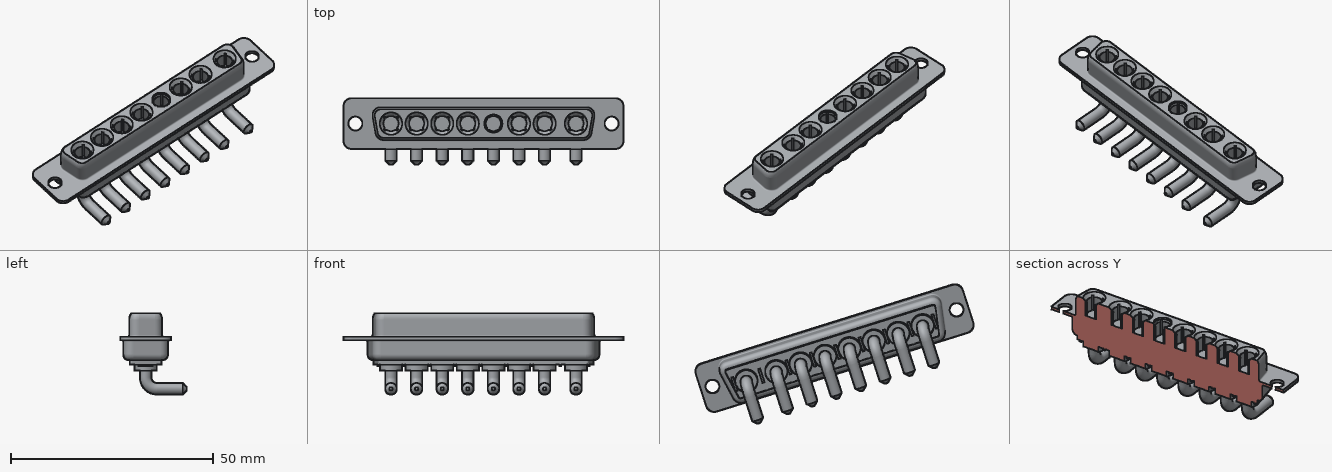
import cadquery as cq
import math

FLANGE_LENGTH = 69.3
FLANGE_WIDTH = 12.6
FLANGE_THICKNESS = 0.9
FLANGE_CORNER = 2.1
MOUNT_HOLE_DIAMETER = 3.4
MOUNT_HOLE_SPACING = 63.35

SIDE_ANGLE = 10.0

FACE_TOP = 5.8
CROWN_START = 4.3
FACE_HALF_LENGTH = 27.45
FACE_HALF_WIDTH = 4.1
FACE_CORNER = 2.1
CROWN_INSET = 0.55
FLANGE_BLEND = 0.35

SHELL_BOTTOM = -5.8
SHELL_HALF_LENGTH = 28.7
SHELL_HALF_WIDTH = 5.55
SHELL_CORNER = 2.15
SHELL_EDGE_ROUND = 1.4

BLOCK_BOTTOM = -6.9
BLOCK_HALF_LENGTH = 27.25
BLOCK_HALF_WIDTH = 3.95
BLOCK_CORNER = 0.55

END_CONTACT_X = 22.9
RUN_LENGTH = 38.0
RUN_COUNT = 7
SMALL_SOCKET_INDEX = 4
RUN_PITCH = RUN_LENGTH / (RUN_COUNT - 1)
CONTACT_X = [-END_CONTACT_X + i * RUN_PITCH for i in range(RUN_COUNT)] + [END_CONTACT_X]

RIB_END_X = 26.0
RIB_WIDTH = 0.55
RIB_LENGTH = 3.6
RIB_DEPTH = 0.35
RIB_X = [-RIB_END_X] + [(a + b) / 2 for a, b in zip(CONTACT_X, CONTACT_X[1:])] + [RIB_END_X]

SOCKET_DIAMETER = 3.75
SOCKET_MOUTH = 5.55
SOCKET_DEPTH = 4.85
SOCKET_CONE_DEPTH = 1.0
SMALL_OPENING = 4.5
SLIT_SPAN = 4.45
SLIT_WIDTH = 0.5
SLIT_ANGLES = (45, 135)

COLLAR_DIAMETER = 5.55
COLLAR_BOTTOM = -8.4
PIN_DIAMETER = 2.9
BEND_START = -10.05
BEND_RADIUS = 2.85
PIN_REACH = 10.2
TIP_CHAMFER = 1.05


def d_outline(half_length, half_width, corner, z):
    """Rounded D outline at height z, built by rounding off its corner centres."""
    center_y = half_width - corner
    wide_x = half_length - corner
    narrow_x = wide_x - 2 * center_y * math.tan(math.radians(SIDE_ANGLE))
    corners = [(-wide_x, center_y), (wide_x, center_y), (narrow_x, -center_y), (-narrow_x, -center_y)]
    return cq.Workplane("XY").workplane(offset=z).polyline(corners).close().offset2D(corner)


def cylinder_down(x, diameter, top, depth):
    return cq.Workplane("XY", origin=(x, 0, top)).circle(diameter / 2).extrude(-depth)


def make_flange():
    plate = cq.Workplane("XY").box(
        FLANGE_LENGTH, FLANGE_WIDTH, FLANGE_THICKNESS, centered=(True, True, False)
    )
    plate = plate.translate((0, 0, -FLANGE_THICKNESS)).edges("|Z").fillet(FLANGE_CORNER)
    holes = [(-MOUNT_HOLE_SPACING / 2, 0), (MOUNT_HOLE_SPACING / 2, 0)]
    return plate.faces(">Z").workplane().pushPoints(holes).hole(MOUNT_HOLE_DIAMETER)


def make_crown_cutter():
    """Ring that rounds the crown: an arc tangent to the wall, swept once around the D outline."""
    path = d_outline(FACE_HALF_LENGTH, FACE_HALF_WIDTH, FACE_CORNER, CROWN_START)
    start = path.val().startPoint()
    outward = path.val().tangentAt(0).cross(cq.Vector(0, 0, 1))
    if outward.dot(start) < 0:
        outward = -outward
    plane = cq.Plane(origin=start, xDir=outward, normal=outward.cross(cq.Vector(0, 0, 1)))
    height = FACE_TOP - CROWN_START
    profile = cq.Workplane(plane).lineTo(FACE_CORNER, 0).lineTo(FACE_CORNER, height).lineTo(-CROWN_INSET, height)
    crown_radius = (height**2 + CROWN_INSET**2) / (2 * CROWN_INSET)
    profile = profile.radiusArc((0, 0), crown_radius).close()
    return profile.sweep(path)


def make_mating_face():
    wall = d_outline(FACE_HALF_LENGTH, FACE_HALF_WIDTH, FACE_CORNER, 0).extrude(FACE_TOP)
    return wall.cut(make_crown_cutter())


def make_shell():
    shell = d_outline(SHELL_HALF_LENGTH, SHELL_HALF_WIDTH, SHELL_CORNER, SHELL_BOTTOM)
    shell = shell.extrude(-SHELL_BOTTOM - FLANGE_THICKNESS)
    return shell.faces("<Z").edges().fillet(SHELL_EDGE_ROUND)


def make_block():
    block = d_outline(BLOCK_HALF_LENGTH, BLOCK_HALF_WIDTH, BLOCK_CORNER, BLOCK_BOTTOM)
    block = block.extrude(SHELL_BOTTOM - BLOCK_BOTTOM)
    ribs = cq.Workplane("XY").workplane(offset=BLOCK_BOTTOM).pushPoints([(x, 0) for x in RIB_X])
    return block.union(ribs.rect(RIB_WIDTH, RIB_LENGTH).extrude(-RIB_DEPTH))


def make_pin(x):
    collar = cylinder_down(x, COLLAR_DIAMETER, BLOCK_BOTTOM, BLOCK_BOTTOM - COLLAR_BOTTOM)
    diagonal = BEND_RADIUS * math.sqrt(0.5)
    end_z = BEND_START - BEND_RADIUS
    path = (
        cq.Workplane("YZ", origin=(x, 0, 0))
        .moveTo(0, COLLAR_BOTTOM)
        .lineTo(0, BEND_START)
        .threePointArc((diagonal - BEND_RADIUS, BEND_START - diagonal), (-BEND_RADIUS, end_z))
        .lineTo(-PIN_REACH, end_z)
    )
    pin = cq.Workplane("XY", origin=(x, 0, COLLAR_BOTTOM)).circle(PIN_DIAMETER / 2).sweep(path)
    pin = pin.faces("<Y").edges().chamfer(TIP_CHAMFER)
    return collar.union(pin)


def make_socket(x, opening):
    """Countersunk bore with a cross of slits; a small opening covers the outer part of the cone."""
    bore = cylinder_down(x, SOCKET_DIAMETER, FACE_TOP, SOCKET_DEPTH)
    mouth = cq.Workplane("XY", origin=(x, 0, FACE_TOP)).circle(SOCKET_MOUTH / 2)
    cone = mouth.workplane(offset=-SOCKET_CONE_DEPTH).circle(SOCKET_DIAMETER / 2).loft()
    socket = bore.union(cone)
    for angle in SLIT_ANGLES:
        slit = cq.Workplane("XY").box(SLIT_SPAN, SLIT_WIDTH, SOCKET_DEPTH, centered=(True, True, False))
        slit = slit.rotate((0, 0, 0), (0, 0, 1), angle)
        socket = socket.union(slit.translate((x, 0, FACE_TOP - SOCKET_DEPTH)))
    return socket.intersect(cylinder_down(x, opening, FACE_TOP, SOCKET_DEPTH))


def blend_ring(z, half_length, half_width):
    """Select the edges where a D-shaped wall of this size meets the flange at height z."""
    margin = FLANGE_BLEND / 5
    low = (-half_length - margin, -half_width - margin, z - margin)
    high = (half_length + margin, half_width + margin, z + margin)
    return cq.selectors.BoxSelector(low, high, boundingbox=True)


def make_body():
    body = make_flange().union(make_mating_face()).union(make_shell())
    body = body.edges(blend_ring(0, FACE_HALF_LENGTH, FACE_HALF_WIDTH)).fillet(FLANGE_BLEND)
    under = blend_ring(-FLANGE_THICKNESS, SHELL_HALF_LENGTH, SHELL_HALF_WIDTH)
    body = body.edges(under).fillet(FLANGE_BLEND)
    return body.union(make_block())


result = make_body()
for index, x in enumerate(CONTACT_X):
    opening = SMALL_OPENING if index == SMALL_SOCKET_INDEX else SOCKET_MOUTH
    result = result.union(make_pin(x)).cut(make_socket(x, opening))